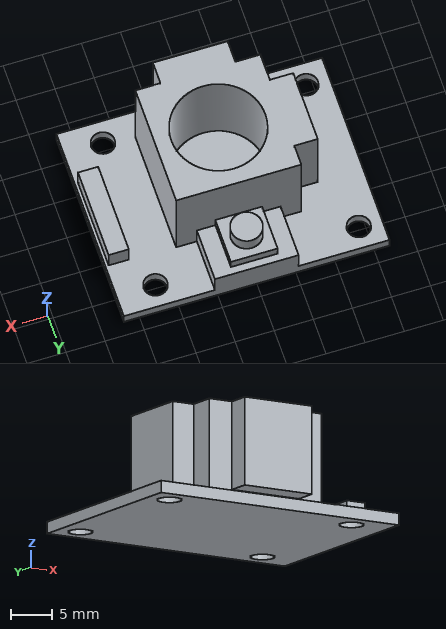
import cadquery as cq

plate_length = 34.0
plate_width = 26.5
plate_thickness = 1.5
hole_diameter = 3.0
hole_x_left = -14.0
hole_x_right = 12.0
hole_y = 10.3

total_height = 13.5
housing_side = 16.0
housing_y = -1.85
bore_diameter = 12.0

pad_length = 9.6
pad_projection = 3.0
pad_clearance = 1.0
left_pad_y = -1.35
front_pad_x = 0.0

base_width = 10.7
base_height = 2.8
step_width = 6.0
step_inset = 1.0
step_height = 4.1
pin_diameter = 4.0
pin_height = 6.1
pin_y = 9.2

bar_width = 2.6
bar_length = 12.0
bar_height = 2.65
bar_edge_gap = 0.4

plate_back = plate_width / 2
housing_back = housing_y + housing_side / 2
housing_front = housing_y - housing_side / 2
housing_left = -housing_side / 2


def block(x_min, x_max, y_min, y_max, z_min, z_max):
    """Axis-aligned block between the given limits."""
    size = (x_max - x_min, y_max - y_min, z_max - z_min)
    return cq.Workplane("XY").box(*size, centered=False).translate((x_min, y_min, z_min))


def make_plate():
    holes = [(x, y) for x in (hole_x_left, hole_x_right) for y in (-hole_y, hole_y)]
    return (
        cq.Workplane("XY")
        .box(plate_length, plate_width, plate_thickness, centered=(True, True, False))
        .faces(">Z")
        .workplane(origin=(0, 0, plate_thickness))
        .pushPoints(holes)
        .hole(hole_diameter)
    )


def make_housing():
    body = block(
        housing_left, -housing_left, housing_front, housing_back, plate_thickness, total_height
    )
    pad_bottom = plate_thickness + pad_clearance
    half_pad = pad_length / 2
    left_pad = block(
        housing_left - pad_projection, housing_left,
        left_pad_y - half_pad, left_pad_y + half_pad,
        pad_bottom, total_height,
    )
    front_pad = block(
        front_pad_x - half_pad, front_pad_x + half_pad,
        housing_front - pad_projection, housing_front,
        pad_bottom, total_height,
    )
    bore = (
        cq.Workplane("XY", origin=(0, housing_y, plate_thickness))
        .circle(bore_diameter / 2)
        .extrude(total_height - plate_thickness)
    )
    return body.union(left_pad).union(front_pad).cut(bore)


def make_rear_connector():
    base = block(
        -base_width / 2, base_width / 2, housing_back, plate_back,
        plate_thickness, plate_thickness + base_height,
    )
    step = block(
        -step_width / 2, step_width / 2, housing_back, plate_back - step_inset,
        plate_thickness, plate_thickness + step_height,
    )
    pin = (
        cq.Workplane("XY", origin=(0, pin_y, plate_thickness))
        .circle(pin_diameter / 2)
        .extrude(pin_height)
    )
    return base.union(step).union(pin)


def make_bar():
    bar_right = plate_length / 2 - bar_edge_gap
    return block(
        bar_right - bar_width, bar_right, -bar_length / 2, bar_length / 2,
        plate_thickness, plate_thickness + bar_height,
    )


result = make_plate().union(make_housing()).union(make_rear_connector()).union(make_bar())